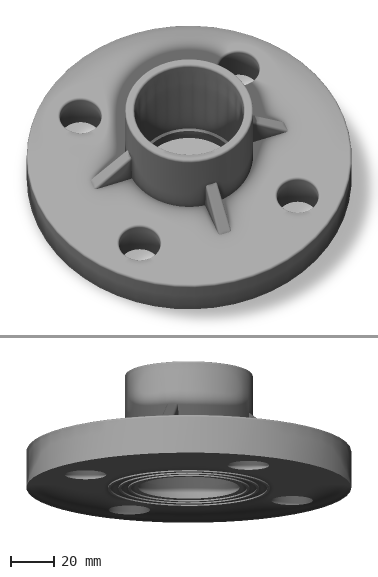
import cadquery as cq
import math

edge_radius = 1.0

overall_height = 54.0

ring_height = 0.6
ring_width = 1.2
ring_outer_diameters = (56.0, 64.9, 74.8)

flange_diameter = 149.8
flange_thickness = 18.0
flange_top = ring_height + flange_thickness

hub_diameter = 59.0
socket_mouth_diameter = 50.6
socket_floor_diameter = 49.7
socket_depth = 48.0
bore_diameter = 46.7

bolt_circle_diameter = 110.0
bolt_hole_diameter = 19.2
bolt_count = 4
first_bolt_angle = 0

rib_base_thickness = 6.3
rib_draft_angle = 1.5
rib_tip_radius = 47.6
rib_height = 15.3
rib_count = 4
first_rib_angle = 45

overlap = 1.5


def disc(diameter, bottom, top):
    """Solid cylinder on the Z axis."""
    return cq.Workplane("XY").workplane(offset=bottom).circle(diameter / 2).extrude(top - bottom)


def sealing_ring(outer_diameter):
    """Square-sided ring below the flange."""
    inner_diameter = outer_diameter - 2 * ring_width
    ring = cq.Workplane("XY").circle(outer_diameter / 2).circle(inner_diameter / 2)
    return ring.extrude(ring_height)


def rib():
    """Drafted rib along +X whose sloping face has both long edges rounded."""
    slope = rib_height / (rib_tip_radius - hub_diameter / 2)
    inner_radius = hub_diameter / 2 - overlap
    outer_radius = rib_tip_radius + overlap / slope
    bottom = flange_top - overlap
    top = flange_top + rib_height + overlap * slope

    draft = math.tan(math.radians(rib_draft_angle))
    half_base = rib_base_thickness / 2 + overlap * draft
    half_top = half_base - (top - bottom) * draft
    section = [(-half_base, bottom), (half_base, bottom), (half_top, top), (-half_top, top)]
    bar = cq.Workplane("YZ").workplane(offset=inner_radius).polyline(section).close()
    bar = bar.extrude(outer_radius - inner_radius)

    profile = [(inner_radius, bottom), (outer_radius, bottom), (inner_radius, top)]
    wedge = cq.Workplane("XZ").polyline(profile).close().extrude(half_base, both=True)

    long_edges = bar.intersect(wedge).edges("not(#X or |X)")
    return long_edges.fillet(edge_radius)


def socket_and_bore():
    """Revolved cutter for the through bore and the tapered socket above it."""
    floor = overall_height - socket_depth
    profile = [
        (0, 0),
        (bore_diameter / 2, 0),
        (bore_diameter / 2, floor),
        (socket_floor_diameter / 2, floor),
        (socket_mouth_diameter / 2, overall_height),
        (0, overall_height),
    ]
    return cq.Workplane("XZ").polyline(profile).close().revolve(360, (0, 0), (0, 1))


def bolt_hole():
    """Cutter for one through hole on the +X side."""
    return disc(bolt_hole_diameter, ring_height, flange_top).translate((bolt_circle_diameter / 2, 0, 0))


def around_axis(solid, count, first_angle):
    """Evenly spaced copies of a solid about the Z axis."""
    step = 360 / count
    return [solid.rotate((0, 0, 0), (0, 0, 1), first_angle + i * step) for i in range(count)]


flange = disc(flange_diameter, ring_height, flange_top)
for one_hole in around_axis(bolt_hole(), bolt_count, first_bolt_angle):
    flange = flange.cut(one_hole)
flange = flange.faces(">Z").edges().fillet(edge_radius)

result = flange.union(disc(hub_diameter, ring_height, overall_height))
for one_rib in around_axis(rib(), rib_count, first_rib_angle):
    result = result.union(one_rib)
for ring_diameter in ring_outer_diameters:
    result = result.union(sealing_ring(ring_diameter))
result = result.cut(socket_and_bore())
result = result.faces(">Z").edges().fillet(edge_radius)